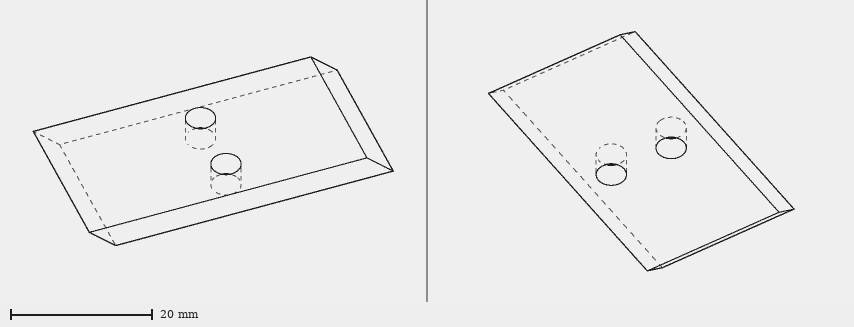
import cadquery as cq

length = 46.0
width = 22.0
thickness = 4.0
bevel_run = thickness
hole_diameter = 4.3
hole_spacing = 10.0

half_length = length / 2

side_profile = [
    (-half_length + bevel_run, 0),
    (half_length, 0),
    (half_length - bevel_run, thickness),
    (-half_length, thickness),
]
plate = cq.Workplane("YZ").polyline(side_profile).close().extrude(width / 2, both=True)

hole_centres = [(side * hole_spacing / 2, 0) for side in (-1, 1)]
holes = cq.Workplane("XY").pushPoints(hole_centres).circle(hole_diameter / 2).extrude(thickness)

result = plate.cut(holes)